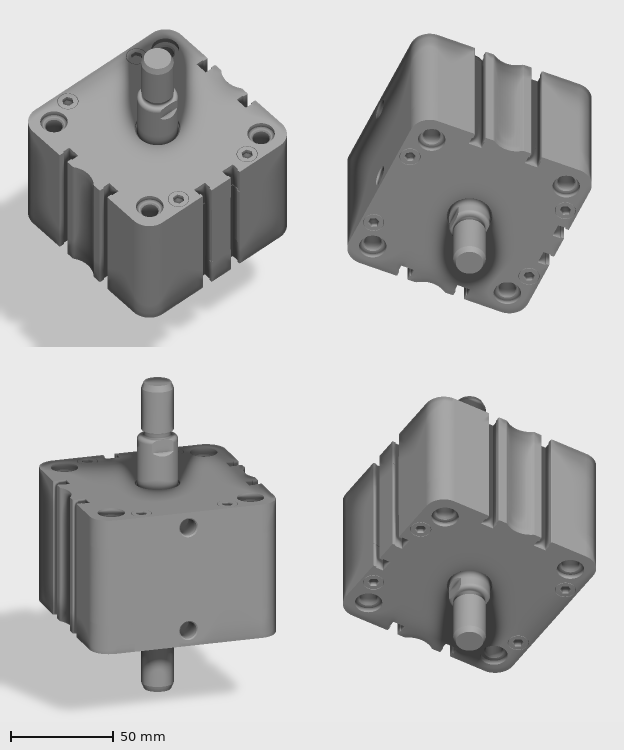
import cadquery as cq
import math


BLOCK_WIDTH = 95.5
BLOCK_HEIGHT = 68.9
CAP_HEIGHT = 14.9
CORNER_RADIUS = 10.0
BARREL_HEIGHT = BLOCK_HEIGHT - 2 * CAP_HEIGHT
HALF_WIDTH = BLOCK_WIDTH / 2
HALF_HEIGHT = BLOCK_HEIGHT / 2
HALF_BARREL = BARREL_HEIGHT / 2

PAIR_SLOT_OFFSET = 15.0
PAIR_SLOT_NECK = 5.5
PAIR_SLOT_NECK_DEPTH = 2.7
PAIR_SLOT_POCKET = 6.8
PAIR_SLOT_DEPTH = 6.6
EDGE_BREAK = 0.3
CAP_END_SLOT_OFFSET = 9.0
END_SLOT_NECK = 5.7
END_SLOT_NECK_DEPTH = 1.7
CAP_END_SLOT_POCKET = 7.0
CAP_END_SLOT_DEPTH = 5.8
BARREL_END_SLOT_OFFSET = 8.8
BARREL_END_SLOT_POCKET = 6.6
BARREL_END_SLOT_DEPTH = 5.4

FLUTE_RADIUS = 12.5
FLUTE_DEPTH = 2.7

MOUTH_SPAN = PAIR_SLOT_OFFSET + PAIR_SLOT_NECK

MOUNT_SPACING = 71.7
MOUNT_BORE = 8.4
MOUNT_CHAMFER_DIAMETER = 9.8
MOUNT_COUNTERBORE = 13.5
MOUNT_COUNTERBORE_DEPTH = 2.7
SCREW_SPACING_X = 82.8
SCREW_SPACING_Y = 44.2
SCREW_RECESS = 10.3
SCREW_HEAD = 9.8
SCREW_GROOVE_DEPTH = 1.6
SCREW_HEX_FLATS = 5.0
SCREW_HEX_DEPTH = 2.5
PORT_FROM_FACE = 7.9
PORT_BORE = 8.5
PORT_CHAMFER_DIAMETER = 9.8
PORT_DEPTH = 12.6
CAP_BORE = 20.5
CAP_SEAT = 22.0
CAP_SEAT_DEPTH = 1.6
CAP_SEAT_CHAMFER_DIAMETER = 22.5

ROD_DIAMETER = 20.0
ROD_TOP_REACH = 52.1
ROD_BOTTOM_REACH = 37.0
THREAD_DIAMETER = 16.0
THREAD_LENGTH = 24.3
THREAD_TIP_DIAMETER = 13.5
THREAD_TIP_LENGTH = 3.0
RELIEF_DIAMETER = 13.5
RELIEF_LENGTH = 3.2
SHOULDER_FILLET = 1.9
RELIEF_FILLET = 0.6
FLATS_WIDTH = 16.7
FLATS_LENGTH = 6.3
ROD_TOP = HALF_HEIGHT + ROD_TOP_REACH
ROD_BOTTOM = -HALF_HEIGHT - ROD_BOTTOM_REACH


def slot_cutter(neck, neck_depth, pocket, depth):
    """T-shaped slot, opening on the line y = 0 and running into -Y."""
    neck_cut = cq.Workplane("XY").box(neck, 2 * depth, BLOCK_HEIGHT)
    pocket_depth = depth - neck_depth
    pocket_cut = (
        cq.Workplane("XY")
        .box(pocket, pocket_depth, BLOCK_HEIGHT)
        .translate((0, -neck_depth - pocket_depth / 2, 0))
    )
    return neck_cut.union(pocket_cut)


def slotted_prism(bottom, height, end_slot_offset, end_slot_pocket, end_slot_depth):
    """Rounded square prism with the sensor slots and flutes along its sides."""
    prism = (
        cq.Workplane("XY", origin=(0, 0, bottom))
        .rect(BLOCK_WIDTH, BLOCK_WIDTH)
        .extrude(height)
        .edges("|Z")
        .fillet(CORNER_RADIUS)
    )
    pair_slot = slot_cutter(
        PAIR_SLOT_NECK, PAIR_SLOT_NECK_DEPTH, PAIR_SLOT_POCKET, PAIR_SLOT_DEPTH
    )
    end_slot = slot_cutter(
        END_SLOT_NECK, END_SLOT_NECK_DEPTH, end_slot_pocket, end_slot_depth
    ).rotate((0, 0, 0), (0, 0, 1), -90)
    flute = (
        cq.Workplane("XY")
        .circle(FLUTE_RADIUS)
        .extrude(HALF_HEIGHT, both=True)
        .translate((0, HALF_WIDTH - FLUTE_DEPTH + FLUTE_RADIUS, 0))
    )
    for side in (-1, 1):
        side_slot = pair_slot.translate((side * PAIR_SLOT_OFFSET, HALF_WIDTH, 0))
        prism = prism.cut(side_slot)
        prism = prism.cut(side_slot.mirror("XZ"))
        prism = prism.cut(end_slot.translate((HALF_WIDTH, side * end_slot_offset, 0)))
    prism = prism.cut(flute).cut(flute.mirror("XZ"))
    for side in (-1, 1):
        mouth_region = cq.selectors.BoxSelector(
            (-MOUTH_SPAN, side * HALF_WIDTH - EDGE_BREAK, -HALF_HEIGHT),
            (MOUTH_SPAN, side * HALF_WIDTH + EDGE_BREAK, HALF_HEIGHT),
        )
        prism = prism.edges("|Z").edges(mouth_region).chamfer(EDGE_BREAK)
    return prism


def chamfered_hole(bore, mouth, depth):
    """Hole running from z = 0 down to -depth, with a 45 degree chamfer at its mouth."""
    chamfer = (mouth - bore) / 2
    return (
        cq.Workplane("XZ")
        .moveTo(0, 0)
        .lineTo(mouth / 2, 0)
        .lineTo(bore / 2, -chamfer)
        .lineTo(bore / 2, -depth)
        .lineTo(0, -depth)
        .close()
        .revolve(360, (0, 0, 0), (0, 1, 0))
    )


def mount_hole():
    """Counterbored mounting hole through the cap, with its mouth at z = 0."""
    counterbore = cq.Workplane("XY").circle(MOUNT_COUNTERBORE / 2).extrude(-MOUNT_COUNTERBORE_DEPTH)
    bore = chamfered_hole(MOUNT_BORE, MOUNT_CHAMFER_DIAMETER, CAP_HEIGHT - MOUNT_COUNTERBORE_DEPTH)
    return counterbore.union(bore.translate((0, 0, -MOUNT_COUNTERBORE_DEPTH)))


def screw_recess():
    """Ring groove around a screw head and the hexagon socket in the head."""
    groove = (
        cq.Workplane("XY")
        .circle(SCREW_RECESS / 2)
        .circle(SCREW_HEAD / 2)
        .extrude(-SCREW_GROOVE_DEPTH)
    )
    across_corners = SCREW_HEX_FLATS / math.cos(math.radians(30))
    socket = (
        cq.Workplane("XY")
        .polygon(6, across_corners)
        .extrude(-SCREW_HEX_DEPTH)
        .rotate((0, 0, 0), (0, 0, 1), 30)
    )
    return groove.union(socket)


def make_top_cap():
    """End cap with the rod bore, mounting holes, screw heads and air port."""
    cap = slotted_prism(
        HALF_BARREL, CAP_HEIGHT, CAP_END_SLOT_OFFSET, CAP_END_SLOT_POCKET, CAP_END_SLOT_DEPTH
    )
    rod_bore = cq.Workplane("XY").circle(CAP_BORE / 2).extrude(-CAP_HEIGHT)
    rod_seat = chamfered_hole(CAP_SEAT, CAP_SEAT_CHAMFER_DIAMETER, CAP_SEAT_DEPTH)
    cap = cap.cut(rod_bore.union(rod_seat).translate((0, 0, HALF_HEIGHT)))
    for x_side in (-1, 1):
        for y_side in (-1, 1):
            mount_place = (x_side * MOUNT_SPACING / 2, y_side * MOUNT_SPACING / 2, HALF_HEIGHT)
            screw_place = (x_side * SCREW_SPACING_X / 2, y_side * SCREW_SPACING_Y / 2, HALF_HEIGHT)
            cap = cap.cut(mount_hole().translate(mount_place))
            cap = cap.cut(screw_recess().translate(screw_place))
    port = (
        chamfered_hole(PORT_BORE, PORT_CHAMFER_DIAMETER, PORT_DEPTH)
        .rotate((0, 0, 0), (0, 1, 0), -90)
        .translate((-HALF_WIDTH, 0, HALF_HEIGHT - PORT_FROM_FACE))
    )
    return cap.cut(port)


def make_barrel():
    """Middle section of the block, with a close bore for the rod."""
    rod_bore = cq.Workplane("XY").circle(ROD_DIAMETER / 2).extrude(HALF_BARREL, both=True)
    barrel_block = slotted_prism(
        -HALF_BARREL,
        BARREL_HEIGHT,
        BARREL_END_SLOT_OFFSET,
        BARREL_END_SLOT_POCKET,
        BARREL_END_SLOT_DEPTH,
    )
    return barrel_block.cut(rod_bore)


def rod_end(tip):
    """Rod from z = 0 up to its threaded tip, with relief groove, shoulder and wrench flats."""
    thread_base = tip - THREAD_LENGTH
    shoulder = thread_base - RELIEF_LENGTH
    end = (
        cq.Workplane("XZ")
        .moveTo(0, 0)
        .lineTo(ROD_DIAMETER / 2, 0)
        .lineTo(ROD_DIAMETER / 2, shoulder - SHOULDER_FILLET)
        .radiusArc((ROD_DIAMETER / 2 - SHOULDER_FILLET, shoulder), -SHOULDER_FILLET)
        .lineTo(RELIEF_DIAMETER / 2 + RELIEF_FILLET, shoulder)
        .radiusArc((RELIEF_DIAMETER / 2, shoulder + RELIEF_FILLET), RELIEF_FILLET)
        .lineTo(RELIEF_DIAMETER / 2, thread_base - RELIEF_FILLET)
        .radiusArc((RELIEF_DIAMETER / 2 + RELIEF_FILLET, thread_base), RELIEF_FILLET)
        .lineTo(THREAD_DIAMETER / 2, thread_base)
        .lineTo(THREAD_DIAMETER / 2, tip - THREAD_TIP_LENGTH)
        .lineTo(THREAD_TIP_DIAMETER / 2, tip)
        .lineTo(0, tip)
        .close()
        .revolve(360, (0, 0, 0), (0, 1, 0))
    )
    flats_base = shoulder - FLATS_LENGTH
    flat = (
        cq.Workplane("XZ")
        .moveTo(FLATS_WIDTH / 2, shoulder)
        .lineTo(FLATS_WIDTH / 2, flats_base)
        .lineTo(FLATS_WIDTH / 2 + FLATS_LENGTH, flats_base - FLATS_LENGTH)
        .lineTo(FLATS_WIDTH / 2 + FLATS_LENGTH, shoulder)
        .close()
        .extrude(ROD_DIAMETER / 2, both=True)
    )
    return end.cut(flat).cut(flat.mirror("YZ"))


def make_rod():
    """One through rod, threaded at both ends."""
    bottom_end = rod_end(-ROD_BOTTOM).rotate((0, 0, 0), (1, 0, 0), 180)
    return rod_end(ROD_TOP).union(bottom_end)


top_cap = make_top_cap()
bottom_cap = top_cap.rotate((0, 0, 0), (1, 0, 0), 180)
barrel = make_barrel()
rod = make_rod()

result = cq.Compound.makeCompound(
    [body.solids().val() for body in (top_cap, bottom_cap, barrel, rod)]
)